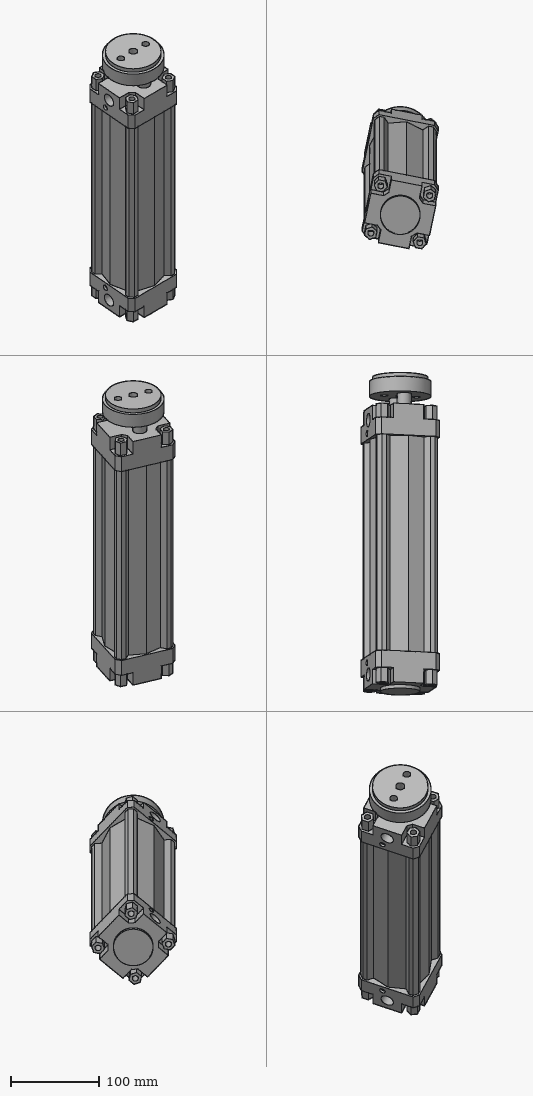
import cadquery as cq
import math

cap_width = 75.0
cap_height = 36.0
cap_chamfer = 5.5
tube_length = 249.0
upper_cap_base = cap_height + tube_length
housing_top = upper_cap_base + cap_height

spigot_diameter = 45.0
spigot_height = 4.0

tube_width = 71.0
tube_chamfer = 4.5
valley_position = 20.0
valley_depth = 5.75

nut_position = 28.25
nut_across_corners = 15.0
nut_hole_diameter = 6.75
nut_hole_depth = 20.0
drill_point_angle = 118.0
pocket_inner_wall = 17.75
pocket_chamfer = 5.0
pocket_depth = 16.5

port_diameter = 15.2
port_depth = 15.0
port_offset = 14.0
screw_diameter = 6.5
screw_depth = 3.0
screw_offset = 28.5
screw_x = -6.0

rod_diameter = 16.0
rod_spacing = 35.0
rod_length = 15.0
plate_diameter = 70.0
plate_thickness = 17.0
rim_diameter = 63.0
rim_thickness = 5.0
plate_center_hole = 10.11
plate_side_hole = 8.38
plate_side_hole_position = 19.0


def make_nut():
    """Hexagonal nut on the corner axis, spanning Z = -pocket_depth to 0."""
    return (
        cq.Workplane("XY", origin=(nut_position, nut_position, -pocket_depth))
        .polygon(6, nut_across_corners)
        .extrude(pocket_depth)
    )


def make_nut_hole():
    """Blind drilled hole with a conical end, opening at Z = 0."""
    radius = nut_hole_diameter / 2
    tip_length = radius / math.tan(math.radians(drill_point_angle / 2))
    return (
        cq.Workplane("XZ")
        .moveTo(0, 0)
        .lineTo(radius, 0)
        .lineTo(radius, -nut_hole_depth)
        .lineTo(0, -nut_hole_depth - tip_length)
        .close()
        .revolve(360, (0, 0), (0, 1))
        .translate((nut_position, nut_position, 0))
    )


def make_pocket():
    """Corner pocket with a chamfered inner corner, spanning Z = -pocket_depth to 0."""
    pocket_size = cap_width / 2 - pocket_inner_wall
    return (
        cq.Workplane("XY", origin=(pocket_inner_wall, pocket_inner_wall, -pocket_depth))
        .rect(pocket_size, pocket_size, centered=False)
        .extrude(pocket_depth)
        .edges("|Z and <X and <Y")
        .chamfer(pocket_chamfer)
    )


def make_cap():
    """Square end cap with its outer face at Z = 0 and its inner face at Z = -cap_height."""
    cap = (
        cq.Workplane("XY", origin=(0, 0, -cap_height))
        .rect(cap_width, cap_width)
        .extrude(cap_height)
        .edges("|Z")
        .chamfer(cap_chamfer)
    )
    corner_cut = make_pocket().cut(make_nut())
    corner_cut = corner_cut.union(make_nut_hole())
    for quarter in range(4):
        cap = cap.cut(corner_cut.rotate((0, 0, 0), (0, 0, 1), 90 * quarter))
    return cap


def drill_front_hole(body, diameter, depth, x, z):
    """Blind round hole in the front (-Y) face of a cap."""
    drill = (
        cq.Workplane("XZ", origin=(x, -cap_width / 2 + depth, z))
        .circle(diameter / 2)
        .extrude(depth)
    )
    return body.cut(drill)


def make_tube():
    """Profiled tube: the points of one side are turned around the axis four times."""
    half_width = tube_width / 2
    valley_y = -half_width + valley_depth
    side_points = [
        (-half_width + tube_chamfer, -half_width),
        (-valley_position - valley_depth, -half_width),
        (-valley_position, valley_y),
        (0, -half_width),
        (valley_position, valley_y),
        (valley_position + valley_depth, -half_width),
        (half_width - tube_chamfer, -half_width),
    ]
    outline = []
    for _ in range(4):
        outline.extend(side_points)
        side_points = [(-y, x) for x, y in side_points]
    return (
        cq.Workplane("XY", origin=(0, 0, cap_height))
        .polyline(outline)
        .close()
        .extrude(tube_length)
    )


def make_housing():
    """Tube, both caps and the spigot as one solid."""
    upper_cap = make_cap().translate((0, 0, housing_top))
    lower_cap = make_cap().mirror("XY")
    spigot = (
        cq.Workplane("XY", origin=(0, 0, -spigot_height))
        .circle(spigot_diameter / 2)
        .extrude(spigot_height)
    )
    body = make_tube().union(upper_cap).union(lower_cap).union(spigot)
    for port_z in (port_offset, housing_top - port_offset):
        body = drill_front_hole(body, port_diameter, port_depth, 0, port_z)
    for screw_z in (screw_offset, housing_top - screw_offset):
        body = drill_front_hole(body, screw_diameter, screw_depth, screw_x, screw_z)
    return body


def make_piston():
    """Two rods standing on the upper cap, joined by the drilled plate."""
    plate_base = housing_top + rod_length
    rods = (
        cq.Workplane("XY", origin=(0, 0, housing_top))
        .pushPoints([(-rod_spacing / 2, 0), (rod_spacing / 2, 0)])
        .circle(rod_diameter / 2)
        .extrude(rod_length)
    )
    plate = (
        cq.Workplane("XY", origin=(0, 0, plate_base))
        .circle(plate_diameter / 2)
        .extrude(plate_thickness)
        .faces(">Z")
        .workplane()
        .circle(rim_diameter / 2)
        .extrude(rim_thickness)
    )
    plate = plate.faces(">Z").workplane().hole(plate_center_hole)
    plate = (
        plate.faces(">Z")
        .workplane()
        .pushPoints([(0, -plate_side_hole_position), (0, plate_side_hole_position)])
        .hole(plate_side_hole)
    )
    return plate.union(rods)


housing = make_housing()
piston = make_piston()

result = cq.Compound.makeCompound([housing.val(), piston.val()])